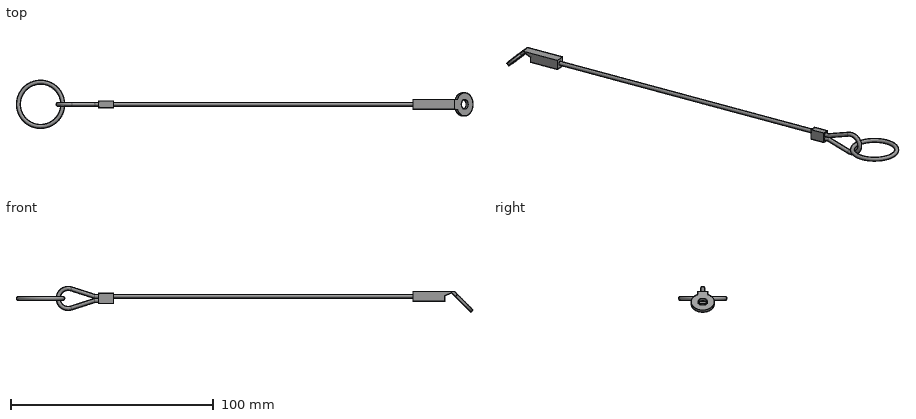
import cadquery as cq
import math


ring_outer_diameter = 24.0
ring_wire_diameter = 2.0
ring_mean_radius = (ring_outer_diameter - ring_wire_diameter) / 2

cable_diameter = 2.0
strand_spacing = 2.07
strand_offset = strand_spacing / 2
eye_height = 12.0
eye_radius = (eye_height - cable_diameter) / 2
eye_left_x = 19.5
eye_center_x = eye_left_x + cable_diameter / 2 + eye_radius
eye_closing_x = 38.5

ferrule_left_x = 40.5
ferrule_length = 7.5
ferrule_width = 3.4
ferrule_height = 5.2

total_length = 225.4
terminal_left_x = 195.6
block_size = 5.0
block_bottom_length = 15.8
block_end_height = 2.7
web_thickness = 0.8
bend_x = 216.1
bend_angle = 45.0
eyelet_diameter = 11.5
eyelet_hole_diameter = 4.7
eyelet_thickness = 1.5

block_top_z = strand_offset + block_size / 2
block_bottom_z = block_top_z - block_size
bend_cos = math.cos(math.radians(bend_angle))
bend_sin = math.sin(math.radians(bend_angle))
eyelet_distance = (total_length - bend_x) / bend_cos - eyelet_diameter / 2


def make_ring():
    """Closed round-wire ring lying flat around the Z axis."""
    return cq.Workplane(cq.Solid.makeTorus(
        ring_mean_radius, ring_wire_diameter / 2,
        cq.Vector(ring_outer_diameter / 2, 0, 0), cq.Vector(0, 0, 1),
    ))


def make_ferrule():
    """Rectangular sleeve block, solid with the strands it grips."""
    return cq.Workplane("XY").box(
        ferrule_length, ferrule_width, ferrule_height, centered=(False, True, True),
    ).translate((ferrule_left_x, 0, 0))


def make_cable_with_ferrule():
    """Cable from the terminal face through the ferrule, round the eye and back, one with the ferrule."""
    closing_distance = math.hypot(eye_closing_x - eye_center_x, strand_offset)
    tangent_angle = (
        math.atan2(strand_offset, eye_closing_x - eye_center_x)
        + math.acos(eye_radius / closing_distance)
    )
    tangent_x = eye_center_x + eye_radius * math.cos(tangent_angle)
    tangent_z = eye_radius * math.sin(tangent_angle)
    path = (
        cq.Workplane("XZ")
        .moveTo(terminal_left_x, strand_offset)
        .lineTo(eye_closing_x, strand_offset)
        .lineTo(tangent_x, tangent_z)
        .threePointArc((eye_center_x - eye_radius, 0), (tangent_x, -tangent_z))
        .lineTo(eye_closing_x, -strand_offset)
        .lineTo(ferrule_left_x + ferrule_length / 2, -strand_offset)
    )
    terminal_face = cq.Plane(
        origin=(terminal_left_x, 0, strand_offset), xDir=(0, 0, 1), normal=(1, 0, 0),
    )
    rope = (
        cq.Workplane(terminal_face)
        .circle(cable_diameter / 2)
        .sweep(path, transition="right")
    )
    return rope.union(make_ferrule())


def make_terminal():
    """Square block with its lower end cut back, and an eyelet bent down from its top."""
    block_end_x = terminal_left_x + block_bottom_length
    block_end_z = block_bottom_z + block_end_height
    valley_x = bend_x - eyelet_thickness / bend_sin + web_thickness * bend_cos / bend_sin
    valley_z = block_top_z - web_thickness
    neck_end_x = bend_x + eyelet_distance / 2 * bend_cos
    neck_end_z = block_top_z - eyelet_distance / 2 * bend_sin
    body = (
        cq.Workplane("XZ")
        .moveTo(terminal_left_x, block_bottom_z)
        .lineTo(block_end_x, block_bottom_z)
        .lineTo(block_end_x, block_end_z)
        .lineTo(valley_x, valley_z)
        .lineTo(neck_end_x - eyelet_thickness * bend_sin, neck_end_z - eyelet_thickness * bend_cos)
        .lineTo(neck_end_x, neck_end_z)
        .lineTo(bend_x, block_top_z)
        .lineTo(terminal_left_x, block_top_z)
        .close()
        .extrude(block_size / 2, both=True)
    )
    slope = cq.Plane(
        origin=(bend_x, 0, block_top_z),
        xDir=(bend_cos, 0, -bend_sin),
        normal=(bend_sin, 0, bend_cos),
    )
    eyelet_face = cq.Workplane(slope).center(eyelet_distance, 0)
    disc = eyelet_face.circle(eyelet_diameter / 2).extrude(-eyelet_thickness)
    hole = eyelet_face.circle(eyelet_hole_diameter / 2).extrude(-eyelet_thickness)
    return body.union(disc).cut(hole)


ring = make_ring()
cable = make_cable_with_ferrule()
terminal = make_terminal()
result = cq.Compound.makeCompound([ring.val(), cable.val(), terminal.val()])